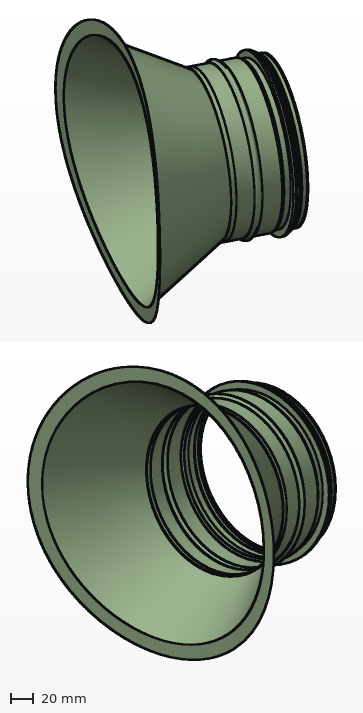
import cadquery as cq
import math

WALL = 0.5

TUBE_RADIUS = 159.0 / 2
TUBE_LENGTH = 72.3
LIP_RADIUS = 153.1 / 2
LIP_THICKNESS = 1.0

GROOVE_RADIUS = 155.5 / 2
GROOVE_START = 47.8
GROOVE_END = 66.5
GROOVE_SLOPE = 2.5

BEAD_RADIUS = 164.5 / 2
BEAD_CENTER = 25.5
BEAD_HALF_WIDTH = 3.7
BEAD_CREST_HALF_WIDTH = 1.5
BEAD_CREST_RISE = 0.9
BEAD_ROOT_MID = (2.5, 0.5)

TAPER_LIP_RADIUS = 164.5 / 2
FLAT_LIP_RADIUS = 169.5 / 2
SEAL_WAIST_RADIUS = 78.5
SEAL_SHOULDER_RADIUS = 80.0
FLAT_LIP_FRONT = 56.5
FLAT_LIP_BACK = 59.0
TAPER_LIP_FRONT = 61.0
TAPER_LIP_BACK = 63.0
SEAL_SHOULDER = 64.5

COLLAR_RADIUS = TUBE_RADIUS - WALL
COLLAR_LENGTH = 5.0
CONE_ANGLE = 30.0
FLANGE_WIDTH = 284.7
FLANGE_HEIGHT = 269.5
TOTAL_LENGTH = 161.0
FLANGE_FRONT = TUBE_LENGTH - TOTAL_LENGTH
SADDLE_RADIUS = 652.0
CUT_LENGTH = 114.0


def revolve_about_y(sketch):
    return sketch.close().revolve(360, (0, 0, 0), (0, 1, 0))


def add_bead(sketch, radius):
    """Draw the bead toward +Y on a tube surface of the given radius."""
    root_offset, root_height = BEAD_ROOT_MID
    crest = radius + BEAD_RADIUS - TUBE_RADIUS
    flank_top = crest - BEAD_CREST_RISE
    return (
        sketch.lineTo(radius, BEAD_CENTER - BEAD_HALF_WIDTH)
        .threePointArc(
            (radius + root_height, BEAD_CENTER - root_offset),
            (flank_top, BEAD_CENTER - BEAD_CREST_HALF_WIDTH),
        )
        .threePointArc((crest, BEAD_CENTER), (flank_top, BEAD_CENTER + BEAD_CREST_HALF_WIDTH))
        .threePointArc(
            (radius + root_height, BEAD_CENTER + root_offset),
            (radius, BEAD_CENTER + BEAD_HALF_WIDTH),
        )
    )


def tube_core(radius, length):
    """Solid of revolution inside one surface of the tube, with its bead and groove."""
    floor = radius - (TUBE_RADIUS - GROOVE_RADIUS)
    sketch = cq.Workplane("XY").lineTo(radius, 0)
    sketch = (
        add_bead(sketch, radius)
        .lineTo(radius, GROOVE_START)
        .lineTo(floor, GROOVE_START + GROOVE_SLOPE)
        .lineTo(floor, GROOVE_END - GROOVE_SLOPE)
        .lineTo(radius, GROOVE_END)
        .lineTo(radius, length)
        .lineTo(0, length)
    )
    return revolve_about_y(sketch)


def make_tube():
    outside = tube_core(TUBE_RADIUS, TUBE_LENGTH)
    inside = tube_core(TUBE_RADIUS - WALL, TUBE_LENGTH - LIP_THICKNESS)
    opening = cq.Workplane("XZ").circle(LIP_RADIUS).extrude(-TUBE_LENGTH)
    return outside.cut(inside).cut(opening)


def make_seal():
    sketch = (
        cq.Workplane("XY")
        .moveTo(GROOVE_RADIUS, FLAT_LIP_FRONT)
        .lineTo(FLAT_LIP_RADIUS, FLAT_LIP_FRONT)
        .lineTo(FLAT_LIP_RADIUS, FLAT_LIP_BACK)
        .lineTo(SEAL_WAIST_RADIUS, FLAT_LIP_BACK)
        .lineTo(SEAL_WAIST_RADIUS, TAPER_LIP_FRONT)
        .lineTo(TAPER_LIP_RADIUS, TAPER_LIP_FRONT)
        .lineTo(TAPER_LIP_RADIUS, TAPER_LIP_BACK)
        .lineTo(SEAL_SHOULDER_RADIUS, SEAL_SHOULDER)
        .lineTo(TUBE_RADIUS, GROOVE_END)
        .lineTo(GROOVE_RADIUS, GROOVE_END - GROOVE_SLOPE)
    )
    return revolve_about_y(sketch)


def funnel_core(radius):
    """Solid of revolution inside one surface of the collar and cone."""
    mouth = radius + CUT_LENGTH * math.tan(math.radians(CONE_ANGLE))
    sketch = (
        cq.Workplane("XY")
        .moveTo(0, -CUT_LENGTH)
        .lineTo(mouth, -CUT_LENGTH)
        .lineTo(radius, 0)
        .lineTo(radius, COLLAR_LENGTH)
        .lineTo(0, COLLAR_LENGTH)
    )
    return revolve_about_y(sketch)


def duct(radius):
    """Cylinder along Z whose SADDLE_RADIUS surface passes through the flange tips."""
    axis_y = FLANGE_FRONT - math.sqrt(SADDLE_RADIUS**2 - (FLANGE_WIDTH / 2) ** 2)
    return (
        cq.Workplane("XY")
        .workplane(offset=-FLANGE_HEIGHT)
        .center(0, axis_y)
        .circle(radius)
        .extrude(2 * FLANGE_HEIGHT)
    )


def make_saddle():
    rim = (
        cq.Workplane("XZ")
        .ellipse(FLANGE_WIDTH / 2, FLANGE_HEIGHT / 2)
        .extrude(CUT_LENGTH)
    )
    flange = rim.intersect(duct(SADDLE_RADIUS + WALL)).cut(duct(SADDLE_RADIUS))
    funnel = funnel_core(COLLAR_RADIUS).cut(duct(SADDLE_RADIUS))
    return funnel.union(flange).cut(funnel_core(COLLAR_RADIUS - WALL))


tube = make_tube()
seal = make_seal()
saddle = make_saddle()

result = cq.Compound.makeCompound([tube.val(), seal.val(), saddle.val()])